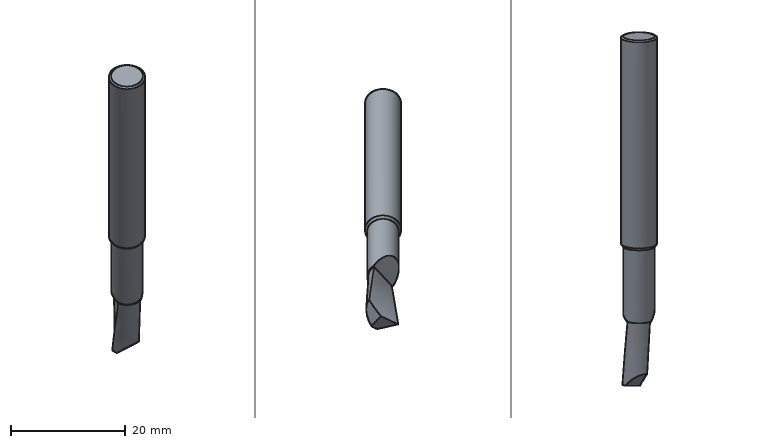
import cadquery as cq
import math

total_length = 63.5
shank_radius = 3.2
shank_bottom = 25.4
top_chamfer_width = 0.4
top_chamfer_height = 0.25
step_chamfer_height = 0.5
neck_radius = 2.8
neck_bottom = 12.2

tip_radius = 3.05
blade_top_radius = 2.6
blade_twist = 25.0
tip_angle = 180.0
flat_end_angle = 260.0
far_rim_angle = 360.0
section_count = 5

runout_slope = 1.1

end_rise_y = 0.13
end_rise_x = 0.06
bevel_start_x = 0.4
bevel_start_z = 0.2
bevel_end_x = 3.0
bevel_end_z = 3.05
cutter_size = 4 * shank_radius


def make_shank():
    outline = [
        (0, shank_bottom),
        (neck_radius, shank_bottom),
        (shank_radius, shank_bottom + step_chamfer_height),
        (shank_radius, total_length - top_chamfer_height),
        (shank_radius - top_chamfer_width, total_length),
        (0, total_length),
    ]
    return cq.Workplane("XZ").polyline(outline).close().revolve(360, (0, 0), (0, 1))


def runout_cutter(direction_angle, start_distance):
    """Wedge outside a flat, rising outward along the given direction."""
    angle = math.radians(direction_angle)
    outward = (math.cos(angle), math.sin(angle), 0)
    across = (-math.sin(angle), math.cos(angle), 0)
    reach = start_distance + cutter_size
    rise = cutter_size * runout_slope
    profile = cq.Workplane(cq.Plane((0, 0, neck_bottom), outward, across))
    profile = profile.polyline([(start_distance, 0), (reach, 0), (reach, -rise)]).close()
    return profile.extrude(cutter_size, both=True)


def make_neck():
    neck = cq.Workplane("XY").workplane(offset=neck_bottom).circle(neck_radius)
    neck = neck.extrude(shank_bottom - neck_bottom)
    rake_direction = 90 + blade_twist
    flat_direction = (tip_angle + flat_end_angle) / 2 + blade_twist
    flat_distance = blade_top_radius * math.cos(math.radians((flat_end_angle - tip_angle) / 2))
    neck = neck.cut(runout_cutter(rake_direction, 0))
    return neck.cut(runout_cutter(flat_direction, flat_distance))


def blade_section(fraction):
    radius = tip_radius + (blade_top_radius - tip_radius) * fraction
    twist = blade_twist * fraction

    def rim_point(degrees):
        angle = math.radians(degrees + twist)
        return cq.Vector(radius * math.cos(angle), radius * math.sin(angle), neck_bottom * fraction)

    tip = rim_point(tip_angle)
    flat_end = rim_point(flat_end_angle)
    arc_middle = rim_point((flat_end_angle + far_rim_angle) / 2)
    far_rim = rim_point(far_rim_angle)
    return cq.Wire.assembleEdges([
        cq.Edge.makeLine(tip, flat_end),
        cq.Edge.makeThreePointArc(flat_end, arc_middle, far_rim),
        cq.Edge.makeLine(far_rim, tip),
    ])


def end_cutter():
    """Block below the end relief plane, which passes through the cutting tip."""
    plane = cq.Plane((-tip_radius, 0, 0), (1, 0, end_rise_x), (-end_rise_x, end_rise_y, 1))
    return cq.Workplane(plane).rect(cutter_size, cutter_size).extrude(-cutter_size)


def bevel_cutter():
    slope = (bevel_end_z - bevel_start_z) / (bevel_end_x - bevel_start_x)
    low_x = bevel_start_x - shank_radius
    high_x = bevel_end_x + shank_radius
    low = (low_x, bevel_start_z + slope * (low_x - bevel_start_x))
    high = (high_x, bevel_start_z + slope * (high_x - bevel_start_x))
    profile = cq.Workplane("XZ").polyline([low, high, (high_x, low[1])]).close()
    return profile.extrude(cutter_size, both=True)


def make_blade():
    fractions = [i / (section_count - 1) for i in range(section_count)]
    blade = cq.Solid.makeLoft([blade_section(fraction) for fraction in fractions])
    return cq.Workplane(blade).cut(end_cutter()).cut(bevel_cutter())


result = make_shank().union(make_neck()).union(make_blade())